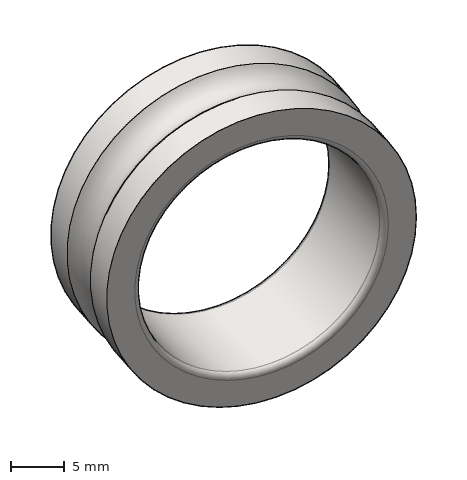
import cadquery as cq

outer_diameter = 32.0
bore_diameter = 25.0
width = 12.0
bore_edge_radius = 0.6

groove_width = 5.02
groove_depth = 1.15

outer_radius = outer_diameter / 2
half_width = width / 2
half_groove = groove_width / 2


def make_ring():
    """Plain ring centred on the origin, with both bore edges rounded."""
    ring = (
        cq.Workplane("YZ")
        .circle(outer_radius)
        .circle(bore_diameter / 2)
        .extrude(half_width, both=True)
    )
    bore_edges = ring.faces("<X or >X").edges(cq.selectors.RadiusNthSelector(0))
    return bore_edges.fillet(bore_edge_radius)


def make_groove():
    """Circular-arc section revolved about X, to be cut from the ring."""
    return (
        cq.Workplane("XY")
        .moveTo(-half_groove, outer_radius)
        .threePointArc((0, outer_radius - groove_depth), (half_groove, outer_radius))
        .close()
        .revolve(360, (0, 0, 0), (1, 0, 0))
    )


result = make_ring().cut(make_groove())